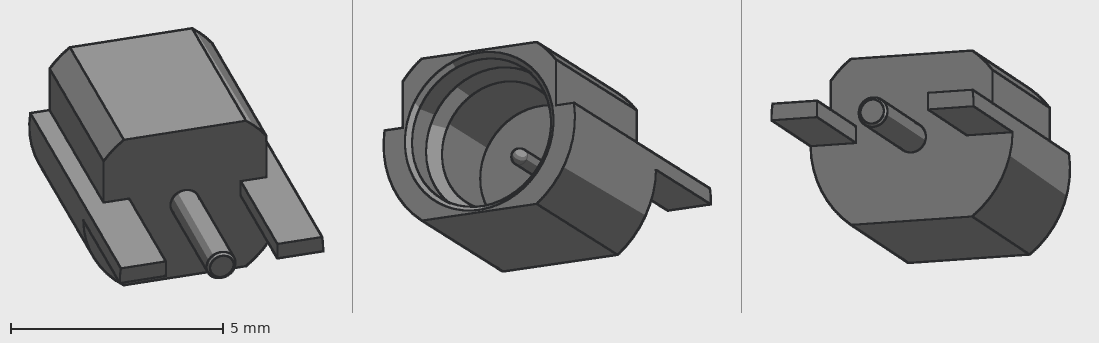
import cadquery as cq

body_length = 4.4
body_radius = 2.501
flat_half = 2.0
ledge_z = 0.36

leg_end = 7.39
leg_thickness = 0.4
leg_inner_y = 1.37

pin_end = 7.41
pin_radius = 0.355
pin_chamfer = 0.07
contact_radius = 0.2
contact_tip_x = 2.0

mouth_radius = 1.94
bore_radius = 1.815
seat_radius = 1.58
mouth_depth = 0.125
taper_start = 0.89
taper_end = 1.26
bore_depth = 3.335


def box(x0, x1, y0, y1, z0, z1):
    """Axis-aligned block between the given limits."""
    return cq.Workplane("XY").box(x1 - x0, y1 - y0, z1 - z0, centered=False).translate((x0, y0, z0))


def round_bar(x0, x1, radius):
    """Cylinder along the X axis."""
    return cq.Workplane("YZ", origin=(x0, 0, 0)).circle(radius).extrude(x1 - x0)


def make_body_and_legs():
    bar = round_bar(0, leg_end, body_radius)
    lower = box(0, body_length, -body_radius, body_radius, -flat_half, ledge_z)
    upper = box(0, body_length, -flat_half, flat_half, ledge_z, flat_half)
    envelope = lower.union(upper)
    leg_bottom = ledge_z - leg_thickness
    for y0, y1 in ((-body_radius, -leg_inner_y), (leg_inner_y, body_radius)):
        envelope = envelope.union(box(0, leg_end, y0, y1, leg_bottom, ledge_z))
    return bar.intersect(envelope)


def make_bore():
    """Flared mouth, straight bore, taper and narrow seat, turned about X."""
    profile = [
        (0, 0),
        (0, mouth_radius),
        (mouth_depth, bore_radius),
        (taper_start, bore_radius),
        (taper_end, seat_radius),
        (bore_depth, seat_radius),
        (bore_depth, 0),
    ]
    return cq.Workplane("XY").polyline(profile).close().revolve(360, (0, 0, 0), (1, 0, 0))


def make_pin():
    pin = round_bar(body_length, pin_end, pin_radius)
    return pin.faces(">X").chamfer(pin_chamfer)


def make_contact():
    """Slim contact standing on the bore floor, with a domed tip."""
    dome_x = contact_tip_x + contact_radius
    dome = cq.Workplane("XY").sphere(contact_radius).translate((dome_x, 0, 0))
    return round_bar(dome_x, body_length, contact_radius).union(dome)


result = make_body_and_legs().cut(make_bore()).union(make_contact()).union(make_pin())